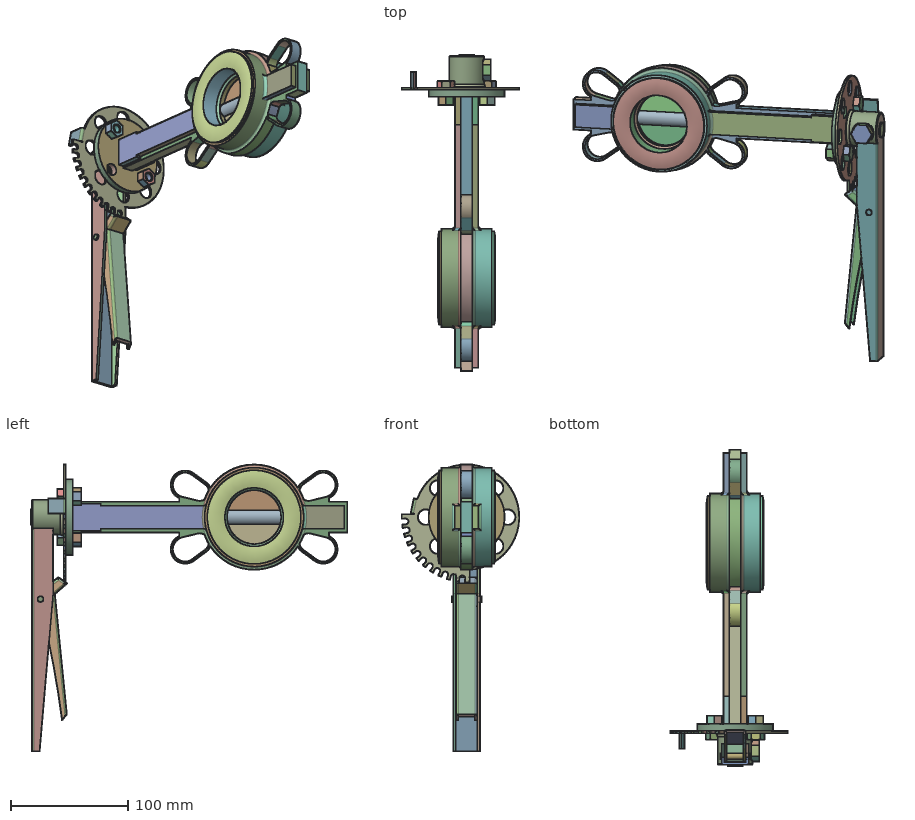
import cadquery as cq
import math


body_diameter = 84.5
body_length = 43.0
band_diameter = 90.0
band_width = 10.0
band_fillet = 2.3
seat_opening = 60.0

rib_width = band_width
rib_height = 26.5
cheek_width = 20.0
cheek_height = 19.6
collar_height = 23.0
collar_start = 131.0
rib_foot = -79.5
cheek_foot = -76.7
cheek_fillet = 2.3

flange_diameter = 65.0
flange_bottom = 154.6
flange_thickness = 6.0
flange_top = flange_bottom + flange_thickness

loop_angle = 25.0
loop_tip_distance = 65.0
loop_root_distance = 51.2
loop_tip_radius = 12.3
loop_root_radius = 9.6
loop_wall = 1.9
web_reach = 64.0
web_height = 33.6

seat_length = 49.0
seat_shoulder = 23.5
seat_lip_diameter = 80.0
seat_bore = 50.0
seat_throat = 46.0
throat_length = 14.0
throat_taper = 2.0

disc_thickness = 5.0
stem_diameter = 13.0
stem_bottom = -60.0
stem_top = 190.68

plate_thickness = 2.0
plate_top = flange_top + plate_thickness
plate_radius = 45.0
notch_tip_radius = 55.44
sector_margin = 2.5
notch_count = 11
notch_width = 4.8
notch_root_radius = 49.9
round_hole_count = 8
round_hole_diameter = 13.0
round_hole_circle = 70.0
stop_angle = 168.2
stop_width = 13.0
stop_top = 175.9
stop_inner_radius = 45.5
stop_bend_radius = 2.2

bolt_circle = 50.0
bolt_diameter = 8.0
clearance_hole = 10.0
hex_across_flats = 13.0
bolt_head_height = 5.6
bolt_head_chamfer = 0.7
nut_height = 7.1
nut_bore = 6.65
bolt_angles = (135.0, 315.0)
flange_hole_angles = (45.0, 135.0, 225.0, 315.0)

hub_diameter = 30.0
hub_foot_height = 3.0
hub_bottom = plate_top + hub_foot_height
hub_top = 189.6
hub_chamfer = 0.8
hub_foot_diameter = 32.0
hub_foot_rim = 0.5
handle_end = -200.0
handle_width = 23.0
handle_wall = 2.25
handle_bend_radius = 1.5
handle_edge = 171.5
handle_taper_start = -65.0
handle_end_edge = 183.0
clamp_across_flats = 16.0
clamp_outer_x = 20.7
clamp_seat_x = 13.7

trigger_width = 18.0
trigger_wall = 2.0
trigger_bend_radius = 2.0
trigger_heel = (170.0, -65.6)
trigger_tooth = (159.7, -56.6)
trigger_crest = (167.0, -51.3)
trigger_back = (186.5, -65.6)
trigger_back_foot = (186.5, -76.0)
trigger_throat = (175.7, -105.0)
trigger_belly = (168.8, -141.0)
trigger_tail = (164.0, -173.4)
trigger_toe = (159.8, -168.2)
pin_diameter = 5.0
pin_length = 25.5
pin_y = 182.3
pin_z = -70.0


def cylinder_y(diameter, y_start, y_end, x=0.0, z=0.0):
    """Cylinder parallel to Y between two heights."""
    plane = cq.Workplane("XZ", origin=(x, y_start, z))
    return plane.circle(diameter / 2).extrude(y_start - y_end)


def box_between(width, y_start, y_end, height):
    """Box centred on the stem axis in X and Z."""
    middle = (y_start + y_end) / 2
    return cq.Workplane("XY").box(width, y_end - y_start, height).translate((0, middle, 0))


def slab(outline, width):
    """Closed outline in the YZ plane, thickened evenly about X = 0."""
    return outline.extrude(width / 2, both=True)


def hexagon_y(y_start, y_end, x, z, turn):
    """Hexagonal prism parallel to Y; turn is the direction of one corner."""
    corner_diameter = hex_across_flats / math.cos(math.radians(30))
    plane = cq.Workplane("XZ", origin=(x, y_start, z))
    prism = plane.polygon(6, corner_diameter).extrude(y_start - y_end)
    return prism.rotate((x, 0, z), (x, 1, z), turn)


def on_circle(diameter, angle):
    """Point in the XZ plane at an angle measured from +X towards +Z."""
    radians = math.radians(angle)
    return (diameter / 2 * math.cos(radians), diameter / 2 * math.sin(radians))


def loop_outline(inset):
    """Teardrop about the Y axis: two round ends joined by tangents, shrunk by inset."""
    tip = loop_tip_radius - inset
    root = loop_root_radius - inset
    distance = loop_tip_distance - loop_root_distance
    slope = (loop_root_radius - loop_tip_radius) / distance
    rise = math.sqrt(1 - slope**2)
    outline = cq.Workplane("YZ").moveTo(loop_root_distance + root * slope, root * rise)
    outline = outline.lineTo(loop_tip_distance + tip * slope, tip * rise)
    outline = outline.threePointArc(
        (loop_tip_distance + tip, 0),
        (loop_tip_distance + tip * slope, -tip * rise),
    )
    outline = outline.lineTo(loop_root_distance + root * slope, -root * rise)
    return outline.threePointArc(
        (loop_root_distance - root, 0),
        (loop_root_distance + root * slope, root * rise),
    ).close()


def at_loop_places(solid):
    """Four copies of a shape, turned to the four loops."""
    angles = (loop_angle, 180 - loop_angle, 180 + loop_angle, -loop_angle)
    return [solid.rotate((0, 0, 0), (1, 0, 0), angle) for angle in angles]


def make_seat():
    """Soft ring lining the housing, with rounded lips over both of its ends."""
    half_body = body_length / 2
    lip = seat_lip_diameter / 2
    bore = seat_bore / 2
    crown_radius = (lip + bore) / 2
    half_throat = throat_length / 2
    ring = (
        cq.Workplane("XY")
        .moveTo(-half_throat, seat_throat / 2)
        .lineTo(-half_throat - throat_taper, bore)
        .lineTo(-seat_shoulder, bore)
        .threePointArc((-seat_length / 2, crown_radius), (-seat_shoulder, lip))
        .lineTo(-half_body, lip)
        .lineTo(-half_body, seat_opening / 2)
        .lineTo(half_body, seat_opening / 2)
        .lineTo(half_body, lip)
        .lineTo(seat_shoulder, lip)
        .threePointArc((seat_length / 2, crown_radius), (seat_shoulder, bore))
        .lineTo(half_throat + throat_taper, bore)
        .lineTo(half_throat, seat_throat / 2)
        .close()
        .revolve(360, (0, 0, 0), (1, 0, 0))
    )
    return ring.cut(cylinder_y(stem_diameter, stem_bottom, stem_top))


def make_band():
    """Raised ring around the middle of the body, with a fillet down to it on both sides."""
    top = band_diameter / 2
    base = body_diameter / 2
    half_width = band_width / 2
    half_foot = half_width + band_fillet
    sag = band_fillet * (1 - math.sqrt(0.5))
    return (
        cq.Workplane("XY")
        .moveTo(-half_foot, seat_opening / 2)
        .lineTo(-half_foot, base)
        .threePointArc((-half_width - sag, base + sag), (-half_width, base + band_fillet))
        .lineTo(-half_width, top)
        .lineTo(half_width, top)
        .lineTo(half_width, base + band_fillet)
        .threePointArc((half_width + sag, base + sag), (half_foot, base))
        .lineTo(half_foot, seat_opening / 2)
        .close()
        .revolve(360, (0, 0, 0), (1, 0, 0))
    )


def fillet_cheek(housing, side):
    """Round the joint between the round body and the cheeks on one side of it."""
    body_radius = body_diameter / 2
    near = body_radius - cheek_fillet
    far = body_radius + cheek_fillet
    joint = cq.selectors.BoxSelector(
        (-cheek_width, side * near, -cheek_height), (cheek_width, side * far, cheek_height)
    )
    return housing.edges(joint).fillet(cheek_fillet)


def make_housing():
    """Ring body with neck, foot, mounting flange and four strap loops."""
    round_body = slab(cq.Workplane("YZ").circle(body_diameter / 2), body_length)
    cheeks = box_between(cheek_width, cheek_foot, flange_bottom, cheek_height)
    housing = round_body.union(cheeks)
    for side in (1, -1):
        housing = fillet_cheek(housing, side)
    housing = housing.union(make_band())
    housing = housing.union(box_between(cheek_width, collar_start, flange_bottom, collar_height))
    housing = housing.union(box_between(rib_width, rib_foot, flange_bottom, rib_height))

    straps = box_between(band_width, -web_reach, web_reach, web_height)
    for loop in at_loop_places(slab(loop_outline(0), band_width)):
        straps = straps.union(loop)
    for opening in at_loop_places(slab(loop_outline(loop_wall), band_width)):
        straps = straps.cut(opening)
    housing = housing.union(straps)

    housing = housing.union(cylinder_y(flange_diameter, flange_bottom, flange_top))
    for angle in flange_hole_angles:
        x, z = on_circle(bolt_circle, angle)
        housing = housing.cut(cylinder_y(clearance_hole, flange_bottom, flange_top, x, z))

    housing = housing.cut(slab(cq.Workplane("YZ").circle(seat_opening / 2), body_length))
    return housing.cut(cylinder_y(stem_diameter, stem_bottom, stem_top))


def make_disc():
    """Closing disc in one piece with its stem."""
    plate = slab(cq.Workplane("YZ").circle(seat_throat / 2), disc_thickness)
    return plate.union(cylinder_y(stem_diameter, stem_bottom, stem_top))


def make_plate():
    """Round plate with a notched quarter, a bent stop and rings of holes."""
    plate = cylinder_y(2 * plate_radius, flange_top, plate_top)
    span = notch_tip_radius + sector_margin
    centre = sector_margin - span / 2
    quarter = (
        cq.Workplane("XY")
        .box(span, plate_thickness, span)
        .translate((centre, flange_top + plate_thickness / 2, centre))
    )
    plate = plate.union(cylinder_y(2 * notch_tip_radius, flange_top, plate_top).intersect(quarter))

    pitch = 90 / notch_count
    notch_length = 2 * (notch_tip_radius - notch_root_radius)
    notch = (
        cq.Workplane("XZ", origin=(0, flange_top, 0))
        .center(notch_root_radius + notch_length / 2, 0)
        .slot2D(notch_length, notch_width)
        .extrude(-plate_thickness)
    )
    for i in range(notch_count):
        angle = 180 + (i + 0.5) * pitch
        plate = plate.cut(notch.rotate((0, 0, 0), (0, 1, 0), -angle))

    for i in range(round_hole_count):
        x, z = on_circle(round_hole_circle, i * 360 / round_hole_count)
        plate = plate.cut(cylinder_y(round_hole_diameter, flange_top, plate_top, x, z))
    for angle in flange_hole_angles:
        x, z = on_circle(bolt_circle, angle)
        plate = plate.cut(cylinder_y(clearance_hole, flange_top, plate_top, x, z))

    stop_outline = (
        cq.Workplane("XY", origin=(0, 0, -stop_width / 2))
        .moveTo(stop_inner_radius - plate_thickness, flange_top)
        .lineTo(stop_inner_radius + plate_thickness, flange_top)
        .lineTo(stop_inner_radius + plate_thickness, stop_top)
        .lineTo(stop_inner_radius, stop_top)
        .lineTo(stop_inner_radius, plate_top)
        .lineTo(stop_inner_radius - plate_thickness, plate_top)
        .close()
    )
    stop = stop_outline.extrude(stop_width).edges(">X and <Y").fillet(stop_bend_radius)
    plate = plate.union(stop.rotate((0, 0, 0), (0, 1, 0), -stop_angle))
    return plate.cut(cylinder_y(stem_diameter, flange_top, plate_top))


def make_bolt(angle):
    """Hexagon bolt through the plate and the flange."""
    x, z = on_circle(bolt_circle, angle)
    head_top = plate_top + bolt_head_height
    corner_diameter = hex_across_flats / math.cos(math.radians(30))
    envelope = cylinder_y(corner_diameter, plate_top, head_top, x, z)
    envelope = envelope.faces(">Y").edges().chamfer(bolt_head_chamfer)
    head = hexagon_y(plate_top, head_top, x, z, 0).intersect(envelope)
    return head.union(cylinder_y(bolt_diameter, flange_bottom, plate_top, x, z))


def make_nut(angle):
    """Hexagon nut under the flange, its bore bevelled at the free face."""
    x, z = on_circle(bolt_circle, angle)
    nut_bottom = flange_bottom - nut_height
    nut = hexagon_y(nut_bottom, flange_bottom, x, z, 90)
    nut = nut.cut(cylinder_y(nut_bore, nut_bottom, flange_bottom, x, z))
    bevel = (bolt_diameter - nut_bore) / 2
    return nut.faces("<Y").edges("%CIRCLE").chamfer(bevel)


def make_handle():
    """Round hub with a tapered channel lever and a hexagon clamp screw head."""
    lever = (
        cq.Workplane("YZ")
        .moveTo(hub_top, 0)
        .lineTo(hub_top, handle_end)
        .lineTo(handle_end_edge, handle_end)
        .lineTo(handle_edge, handle_taper_start)
        .lineTo(handle_edge, 0)
        .close()
    )
    lever = slab(lever, handle_width)
    lever = lever.faces(">Y").edges("|Z").fillet(handle_bend_radius)
    hollow = box_between(
        handle_width - 2 * handle_wall, hub_bottom, hub_top - handle_wall, -2 * handle_end
    )
    lever = lever.cut(hollow)

    hub = cylinder_y(hub_diameter, hub_bottom, hub_top)
    hub = hub.faces(">Y").edges().chamfer(hub_chamfer)
    foot = cylinder_y(hub_foot_diameter, plate_top, hub_bottom)
    foot_flare = (hub_foot_diameter - hub_diameter) / 2
    foot = foot.faces(">Y").edges().chamfer(hub_foot_height - hub_foot_rim, foot_flare)

    clamp_corner_diameter = clamp_across_flats / math.cos(math.radians(30))
    clamp_seat = cq.Workplane("YZ", origin=(clamp_seat_x, (hub_bottom + hub_top) / 2, 0))
    clamp_length = clamp_outer_x - clamp_seat_x
    spot_face = clamp_seat.circle(clamp_corner_diameter / 2).extrude(clamp_length)
    clamp = clamp_seat.polygon(6, clamp_corner_diameter).extrude(clamp_length)
    handle = lever.union(hub.cut(spot_face)).union(foot).union(clamp)
    handle = handle.cut(cylinder_y(stem_diameter, plate_top, stem_top))
    return handle.cut(make_pin())


def make_pin():
    """Pivot that joins the trigger to the lever."""
    return slab(cq.Workplane("YZ").center(pin_y, pin_z).circle(pin_diameter / 2), pin_length)


def make_trigger(plate):
    """Folded channel with a tooth that drops into a notch, in one piece with its pivot."""
    outline = (
        cq.Workplane("YZ")
        .polyline([trigger_toe, trigger_heel, trigger_tooth, trigger_crest])
        .lineTo(*trigger_back)
        .lineTo(*trigger_back_foot)
        .lineTo(*trigger_throat)
        .threePointArc(trigger_belly, trigger_tail)
        .close()
    )
    trigger = slab(outline, trigger_width)
    folds = [trigger_toe, trigger_heel, trigger_tooth, trigger_crest, trigger_back]
    half_width = trigger_width / 2
    middles = [
        (x, (start[0] + end[0]) / 2, (start[1] + end[1]) / 2)
        for start, end in zip(folds, folds[1:])
        for x in (-half_width, half_width)
    ]
    bends = trigger.edges(cq.selectors.NearestToPointSelector(middles[0]))
    for middle in middles[1:]:
        bends = bends.add(trigger.edges(cq.selectors.NearestToPointSelector(middle)))
    trigger = bends.fillet(trigger_bend_radius)
    hollow = slab(trigger_hollow(), trigger_width - 2 * trigger_wall)
    trigger = trigger.cut(hollow)
    return trigger.union(make_pin()).cut(plate)


def trigger_hollow():
    """Inside of the folded sheet, open towards the lever and at the tail."""
    tail_run = (trigger_toe[0] - trigger_heel[0]) / (trigger_toe[1] - trigger_heel[1])
    below = (trigger_heel[0] + tail_run * (handle_end - trigger_heel[1]), handle_end)
    crest_run = (trigger_back[1] - trigger_crest[1]) / (trigger_back[0] - trigger_crest[0])
    beyond_y = hub_top + hub_diameter
    beyond = (beyond_y, trigger_crest[1] + crest_run * (beyond_y - trigger_crest[0]))
    corner = (beyond_y, handle_end)
    folds = [below, trigger_heel, trigger_tooth, trigger_crest, beyond, corner]
    skin = cq.Workplane("YZ").polyline(folds).close()
    return skin.offset2D(-trigger_wall, "intersection")


housing = make_housing()
seat = make_seat()
disc = make_disc()
plate = make_plate()
handle = make_handle()
trigger = make_trigger(plate)
bolts = [make_bolt(angle) for angle in bolt_angles]
nuts = [make_nut(angle) for angle in bolt_angles]

result = cq.Compound.makeCompound(
    [
        housing.val(),
        seat.val(),
        disc.val(),
        plate.val(),
        handle.val(),
        trigger.val(),
        *[bolt.val() for bolt in bolts],
        *[nut.val() for nut in nuts],
    ]
)